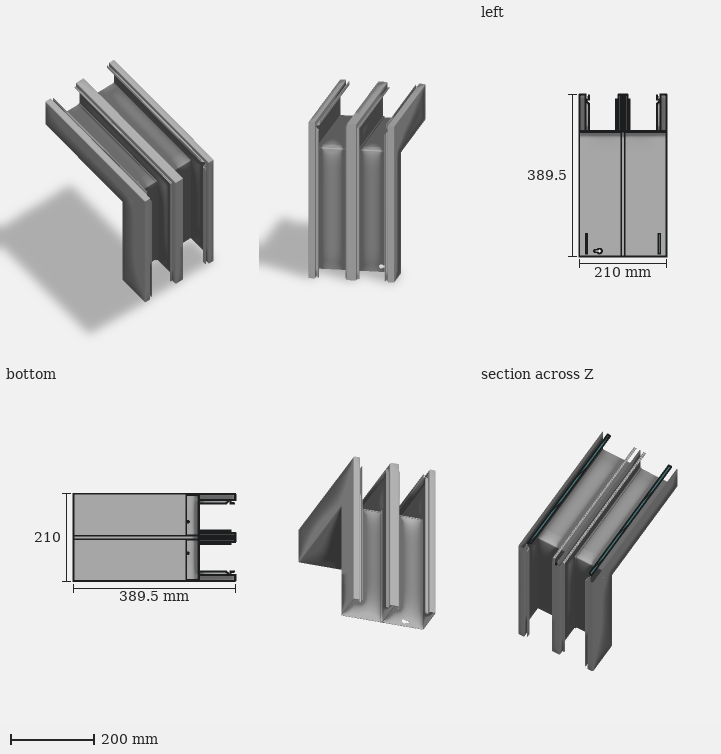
import cadquery as cq

ARM_LENGTH = 389.5
WIDTH = 210.0
DEPTH = 90.0
SHEET = 1.35
BEND = 2.7

HALF_WIDTH = WIDTH / 2
INSIDE_BEND = BEND - SHEET
TOP = ARM_LENGTH
FLOOR = TOP - DEPTH
INNER_FLOOR = FLOOR + SHEET

RIM_WIDTH = 16.0
RIM_ROUND = 1.0
HOOK_REACH = 23.8
HOOK_DEPTH = 13.2
LIP_TIP_DEPTH = 2.7
BEAD_DEPTH = 6.0
BEAD_HEIGHT = 1.5
BEAD_STEP = 0.8
HOOK_INSET = 1.0
HOOK_RELIEF = 2.0

WEB_THICKNESS = 2.0
HEAD_HALF_WIDTH = 11.5
HEAD_DEPTH = 15.0
DIVIDER_HOOK_REACH = 16.7
DIVIDER_HOOK_TIP_DEPTH = 12.0
DIVIDER_LIP = 0.8
RIDGE_OFFSET = 13.5
HEAD_PLATE = 1.75
HEAD_RIB_INNER = 4.0
HEAD_RIB_OUTER = 5.0
HEAD_RIB_HEIGHT = 1.5
WEB_HEAD_HALF_WIDTH = 2.5
FOOT_HALF_WIDTH = 4.5
FOOT_HEIGHT = 3.0

FLAP_LENGTH = 30.0
FLAP_ROOT = 3.5
FLAP_BEND = 2.7
FLAP_SIDE_GAP = 0.8
FLAP_HOLE_DIAMETER = 3.0
FLAP_HOLE_EDGE = 4.5
FLAP_HOLE_Y = 37.8

SEAM_SLOT_LENGTH = 7.5
SEAM_SLOT_WIDTH = 2.0
SEAM_SLOT_CENTRE = 341.5

KEYHOLE_Y = 56.0
KEYHOLE_Z = 13.2
KEYHOLE_DIAMETER = 11.0
KEYHOLE_SLOT_END_Y = 69.5
KEYHOLE_SLOT_WIDTH = 5.5
RECESS_Y = 87.3
RECESS_WIDTH = 4.0
RECESS_LENGTH = 48.5
RECESS_BOTTOM = 6.5
RECESS_DEPTH = 0.5


def block(x0, x1, y0, y1, z0, z1):
    """Axis-aligned box between opposite corners."""
    return cq.Workplane("XY").box(x1 - x0, y1 - y0, z1 - z0, centered=False).translate((x0, y0, z0))


def strip(y0, y1, depth0, depth1):
    """Bar along the whole arm; depths are measured down from the rim."""
    return block(0, ARM_LENGTH, y0, y1, TOP - depth1, TOP - depth0)


def both_sides(shape):
    """The shape joined with its mirror image across the Y = 0 plane."""
    return shape.union(shape.mirror("XZ"))


def swap_xz(shape):
    """Half turn about the mitre direction: X and Z trade places."""
    return shape.rotate((0, 0, 0), (1, 0, 1), 180)


def channel():
    """U channel with inturned rims whose edges are rounded over."""
    outer = strip(-HALF_WIDTH, HALF_WIDTH, 0, DEPTH).edges("|X").fillet(BEND)
    inner_half = HALF_WIDTH - SHEET
    cavity = strip(-inner_half, inner_half, SHEET, DEPTH - SHEET).edges("|X").fillet(INSIDE_BEND)
    opening_half = HALF_WIDTH - RIM_WIDTH
    opening = strip(-opening_half, opening_half, 0, SHEET)
    return outer.cut(cavity).cut(opening).edges("|X and >Z").fillet(RIM_ROUND)


def wall_hook():
    """Rim edge folded down, inwards and up again into a beaded lip, on the +Y wall."""
    rim_edge = HALF_WIDTH - RIM_WIDTH
    lip_edge = HALF_WIDTH - HOOK_REACH
    rim_inner = rim_edge + SHEET
    hook_floor = HOOK_DEPTH - SHEET
    bead_end = BEAD_DEPTH + BEAD_HEIGHT

    side = strip(rim_edge, rim_inner, SHEET, HOOK_DEPTH)
    floor = strip(lip_edge, rim_inner, hook_floor, HOOK_DEPTH)
    lip = strip(lip_edge, lip_edge + SHEET, LIP_TIP_DEPTH, HOOK_DEPTH)
    fold = floor.union(lip).edges("|X and <Y and <Z").fillet(INSIDE_BEND)
    bead = strip(lip_edge + SHEET, lip_edge + SHEET + BEAD_STEP, BEAD_DEPTH, bead_end)
    bead_groove = strip(lip_edge, lip_edge + BEAD_STEP, BEAD_DEPTH, bead_end)
    fold = fold.union(bead).cut(bead_groove)
    fold = fold.cut(block(0, HOOK_INSET, 0, HALF_WIDTH, FLOOR, TOP))

    cut_start = TOP - HOOK_DEPTH - HOOK_RELIEF
    chamfer = (
        cq.Workplane("XY", origin=(0, 0, FLOOR))
        .moveTo(cut_start, rim_edge)
        .lineTo(cut_start - rim_edge + lip_edge, lip_edge)
        .lineTo(ARM_LENGTH, lip_edge)
        .lineTo(ARM_LENGTH, rim_edge)
        .close()
        .extrude(DEPTH)
    )
    return side.union(fold.cut(chamfer))


def divider_head():
    """Inverted channel that caps the web, with stiffening ribs underneath."""
    outer = strip(-HEAD_HALF_WIDTH, HEAD_HALF_WIDTH, 0, HEAD_DEPTH).edges("|X and >Z").fillet(BEND)
    inner_half = HEAD_HALF_WIDTH - SHEET
    cavity = strip(-inner_half, inner_half, HEAD_PLATE, HEAD_DEPTH).edges("|X and >Z").fillet(INSIDE_BEND)
    ribs = both_sides(strip(HEAD_RIB_INNER, HEAD_RIB_OUTER, 0, HEAD_PLATE + HEAD_RIB_HEIGHT))
    return outer.cut(cavity).union(ribs)


def divider_hook():
    """Ledge with an upturned lip and a parallel ridge, on the +Y side of the head."""
    ledge = strip(HEAD_HALF_WIDTH - SHEET, DIVIDER_HOOK_REACH, HEAD_DEPTH - SHEET, HEAD_DEPTH)
    for outer_face in (DIVIDER_HOOK_REACH, RIDGE_OFFSET + DIVIDER_LIP):
        lip = strip(outer_face - DIVIDER_LIP, outer_face, DIVIDER_HOOK_TIP_DEPTH, HEAD_DEPTH)
        ledge = ledge.union(lip)
    return ledge


def divider_web():
    """Upright web, thickened where it meets the head and the floor."""
    half_web = WEB_THICKNESS / 2
    floor_depth = DEPTH - SHEET
    web = strip(-half_web, half_web, HEAD_PLATE, floor_depth)
    web_head = strip(-WEB_HEAD_HALF_WIDTH, WEB_HEAD_HALF_WIDTH, HEAD_PLATE, HEAD_PLATE + HEAD_RIB_HEIGHT)
    foot = strip(-FOOT_HALF_WIDTH, FOOT_HALF_WIDTH, floor_depth - FOOT_HEIGHT, floor_depth)
    return web.union(web_head).union(foot)


def straight_trunking():
    """Full-length trunking along X before the mitre is cut."""
    trunking = channel().union(both_sides(wall_hook()))
    return trunking.union(divider_head()).union(both_sides(divider_hook())).union(divider_web())


def mitre_waste():
    """Wedge on the far side of the mitre plane X = Z."""
    return (
        cq.Workplane("XZ", origin=(0, WIDTH, 0))
        .polyline([(0, 0), (2 * ARM_LENGTH, 0), (2 * ARM_LENGTH, 2 * ARM_LENGTH)])
        .close()
        .extrude(2 * WIDTH)
    )


def seam_slot():
    """Cutter for the slots in both side walls, lying along the mitre seam."""
    slot = cq.Workplane("XZ").slot2D(SEAM_SLOT_LENGTH, SEAM_SLOT_WIDTH, 45)
    bar = slot.extrude(WIDTH, both=True).translate((SEAM_SLOT_CENTRE, 0, SEAM_SLOT_CENTRE))
    inner_half = HALF_WIDTH - SHEET
    return bar.cut(strip(-inner_half, inner_half, 0, DEPTH))


def lap_flaps():
    """Strips bent over the inside corner, one in each compartment."""
    outer_corner = INNER_FLOOR + SHEET
    tip = FLOOR - FLAP_LENGTH + SHEET
    y0 = FOOT_HALF_WIDTH + FLAP_SIDE_GAP
    y1 = HALF_WIDTH - BEND - FLAP_SIDE_GAP
    bent_strip = block(tip, outer_corner, y0, y1, outer_corner - FLAP_ROOT, outer_corner)
    bent_strip = bent_strip.edges("|Y and >X and >Z").fillet(FLAP_BEND)
    inside = block(0, INNER_FLOOR, y0, y1, 0, INNER_FLOOR)
    inside = inside.edges("|Y and >X and >Z").fillet(FLAP_BEND - SHEET)
    corner_fill = block(FLOOR, INNER_FLOOR, y0, y1, FLOOR, INNER_FLOOR)
    return both_sides(bent_strip.cut(inside).cut(corner_fill))


def flap_holes():
    """Pins that cut the fixing holes through the flaps and the floor below."""
    hole_x = FLOOR - FLAP_LENGTH + SHEET + FLAP_HOLE_EDGE
    return (
        cq.Workplane("XY", origin=(0, 0, FLOOR))
        .pushPoints([(hole_x, -FLAP_HOLE_Y), (hole_x, FLAP_HOLE_Y)])
        .circle(FLAP_HOLE_DIAMETER / 2)
        .extrude(DEPTH / 2)
    )


def floor_cuts():
    """Cutter for the keyhole and the two shallow recesses in the vertical arm's floor."""
    plane = cq.Workplane("YZ", origin=(FLOOR, 0, 0))
    round_end = KEYHOLE_SLOT_END_Y - KEYHOLE_SLOT_WIDTH / 2
    neck_length = round_end - KEYHOLE_Y
    keyhole = plane.center(KEYHOLE_Y, KEYHOLE_Z).circle(KEYHOLE_DIAMETER / 2).extrude(SHEET)
    neck = (
        plane.center(KEYHOLE_Y + neck_length / 2, KEYHOLE_Z)
        .slot2D(neck_length + KEYHOLE_SLOT_WIDTH, KEYHOLE_SLOT_WIDTH)
        .extrude(SHEET)
    )
    recess_z = RECESS_BOTTOM + RECESS_LENGTH / 2
    recesses = (
        plane.pushPoints([(-RECESS_Y, recess_z), (RECESS_Y, recess_z)])
        .rect(RECESS_WIDTH, RECESS_LENGTH)
        .extrude(RECESS_DEPTH)
    )
    return keyhole.union(neck).union(recesses)


def horizontal_arm(blank):
    return blank.cut(flap_holes())


def vertical_arm(blank):
    arm = swap_xz(blank).union(lap_flaps())
    return arm.cut(flap_holes()).cut(floor_cuts())


arm_blank = straight_trunking().cut(mitre_waste()).cut(seam_slot())
arm_along_x = horizontal_arm(arm_blank)
arm_along_z = vertical_arm(arm_blank)

result = cq.Compound.makeCompound([arm_along_x.val(), arm_along_z.val()])